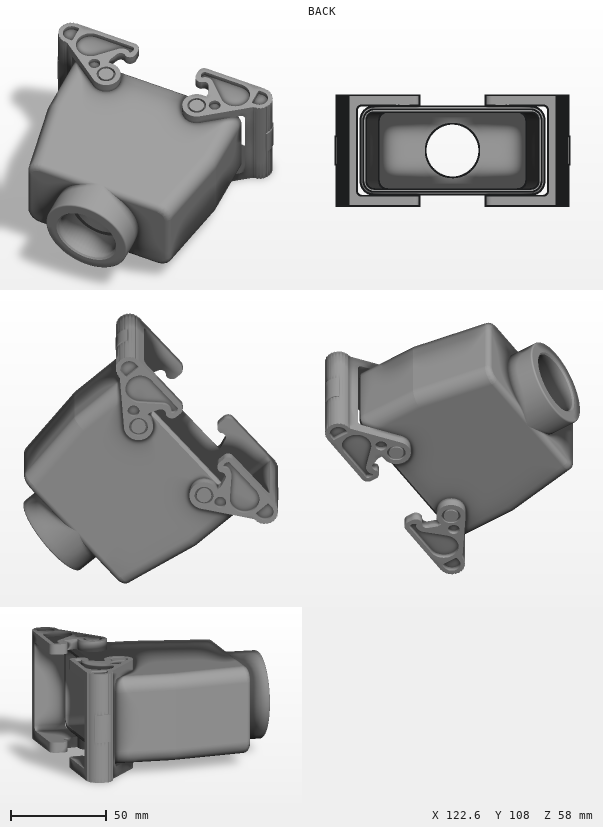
import cadquery as cq
import math


body_half_width = 48.2
end_half_width = 40.6
half_height = 23.2
taper_start_y = -34.6
end_y = -77.4
side_fillet = 7.4
end_fillet = 3.1
mouth_chamfer = 1.6
wall = 3.1

neck_radius = half_height
neck_end_y = -92.5
neck_rounding = 0.9
bore_radius = 16.3
bore_chamfer = 0.9
bore_depth = 17.2
passage_radius = 14.0

overall_width = 122.6
lever_height = 58.0
lever_half_height = lever_height / 2
lever_top_y = 15.5
grip_radius = 7.0
pad_height = 0.5
pad_radius = grip_radius + pad_height
grip_x = -overall_width / 2 + pad_radius
grip_y = lever_top_y - grip_radius
grip_exit_angle = 274.0
hook_tip_x = -17.2
hook_radius = 3.4
hook_lower_y = 9.1
hook_lobe_end_angle = 252.0
throat_top = (-24.3, 6.7)
throat_side = (-26.2, 5.1)
shank_x = -28.1
shank_y = 0.2
eye_x = -26.0
eye_y = -9.5
eye_radius = 7.6

window_x = -49.9
window_half_height = 23.5
window_fillet = 2.5

pin_radius = 3.8
pin_groove_radius = 4.9
pin_groove_depth = 1.7
recess_depth = 2.7
recess_margin = 2.5
dimple_x = -34.5
dimple_y = -5.5
dimple_radius = 3.1
grip_recess_edge_x = -51.4
grip_recess_corner = 0.5
web_radius = 7.7
web_x = -41.5
web_tip = [(-20.5, lever_top_y - recess_margin), (-19.5, 10.7), (-20.7, 8.7)]
web_neck = [(-21.7, 9.7), (-24.2, 10.0)]
web_arc_end_x = -27.3

groove_pitch = 15.0
groove_count = 12
first_groove_angle = 97.5
groove_width = 0.9
groove_depth = 0.2
pad_half_height = 7.4
pad_half_angle = 35.0


def on_circle(x, y, radius, degrees):
    angle = math.radians(degrees)
    return (x + radius * math.cos(angle), y + radius * math.sin(angle))


def slab(outline, z_low, z_high):
    """Extrude a closed XY outline between two heights."""
    return outline.extrude(z_high - z_low).translate((0, 0, z_low))


def disc(x, y, radius, z_low, z_high):
    return slab(cq.Workplane("XY").center(x, y).circle(radius), z_low, z_high)


def y_cylinder(radius, y_low, y_high):
    return cq.Workplane("XZ", origin=(0, y_high, 0)).circle(radius).extrude(y_high - y_low)


def hood_block(inset, back_y):
    """Tapered block with rounded long edges, shrunk by an inset from the outer skin."""
    half_z = half_height - inset
    slope = (body_half_width - end_half_width) / (taper_start_y - end_y)
    wide = body_half_width - inset
    narrow = wide - slope * (taper_start_y - back_y)
    outline = cq.Workplane("XY").polyline([
        (-wide, 0), (wide, 0), (wide, taper_start_y),
        (narrow, back_y), (-narrow, back_y), (-wide, taper_start_y),
    ]).close()
    block = slab(outline, -half_z, half_z)
    long_edges = block.edges("#Z").edges("not(>Y or <Y)")
    return long_edges.fillet(side_fillet - inset)


def hood():
    block = hood_block(0, end_y)
    block = block.faces("<Y").edges().fillet(end_fillet)
    block = block.faces(">Y").edges().chamfer(mouth_chamfer)
    neck = y_cylinder(neck_radius, neck_end_y, end_y + end_fillet)
    neck = neck.faces("<Y").edges().fillet(neck_rounding)
    bore = y_cylinder(bore_radius, neck_end_y, neck_end_y + bore_depth)
    mouth = cq.Workplane("XZ", origin=(0, neck_end_y, 0)).circle(bore_radius + bore_chamfer)
    mouth = mouth.extrude(-bore_chamfer, taper=45)
    passage = y_cylinder(passage_radius, neck_end_y, 0)
    cavity = hood_block(wall, neck_end_y + bore_depth + wall)
    return block.union(neck).cut(cavity).cut(bore).cut(mouth).cut(passage)


def lever_outline():
    hook_x = hook_tip_x - hook_radius
    hook_upper_y = lever_top_y - hook_radius
    lobe_middle_angle = (hook_lobe_end_angle + 360) / 2
    grip_exit = on_circle(grip_x, grip_y, grip_radius, grip_exit_angle)
    dx = grip_exit[0] - eye_x
    dy = grip_exit[1] - eye_y
    spread = math.degrees(math.acos(eye_radius / math.hypot(dx, dy)))
    tangent_angle = math.degrees(math.atan2(dy, dx)) + spread
    return (
        cq.Workplane("XY")
        .moveTo(grip_x, lever_top_y)
        .lineTo(hook_x, lever_top_y)
        .threePointArc(on_circle(hook_x, hook_upper_y, hook_radius, 45), (hook_tip_x, hook_upper_y))
        .lineTo(hook_tip_x, hook_lower_y)
        .threePointArc(
            on_circle(hook_x, hook_lower_y, hook_radius, lobe_middle_angle),
            on_circle(hook_x, hook_lower_y, hook_radius, hook_lobe_end_angle),
        )
        .threePointArc(throat_top, throat_side)
        .lineTo(shank_x, shank_y)
        .lineTo(shank_x, eye_y + eye_radius)
        .lineTo(eye_x, eye_y + eye_radius)
        .threePointArc((eye_x + eye_radius, eye_y), on_circle(eye_x, eye_y, eye_radius, tangent_angle))
        .lineTo(*grip_exit)
        .threePointArc((grip_x - grip_radius, grip_y), (grip_x, lever_top_y))
        .close()
    )


def web_recess_outline():
    web_y = lever_top_y - recess_margin - web_radius
    lower = on_circle(web_x, web_y, web_radius, -45)
    arc_end = (web_arc_end_x, lower[1] + web_arc_end_x - lower[0])
    return (
        cq.Workplane("XY")
        .moveTo(web_x, web_y + web_radius)
        .lineTo(*web_tip[0])
        .threePointArc(web_tip[1], web_tip[2])
        .lineTo(*web_neck[0])
        .threePointArc(web_neck[1], arc_end)
        .lineTo(*lower)
        .threePointArc(on_circle(web_x, web_y, web_radius, 202.5), (web_x, web_y + web_radius))
        .close()
    )


def grip_recess(z_low, z_high):
    radius = grip_radius - recess_margin
    outline = (
        cq.Workplane("XY")
        .moveTo(grip_x, grip_y + radius)
        .lineTo(grip_recess_edge_x, grip_y + radius)
        .lineTo(grip_recess_edge_x, grip_y - radius)
        .lineTo(grip_x, grip_y - radius)
        .threePointArc((grip_x - radius, grip_y), (grip_x, grip_y + radius))
        .close()
    )
    return slab(outline, z_low, z_high).edges("|Z and >X").fillet(grip_recess_corner)


def arm_recesses():
    """Recesses of the upper arm: grip end, web, dimple and the groove around the pin."""
    top = lever_half_height
    floor = top - recess_depth
    groove_floor = top - pin_groove_depth
    groove = disc(eye_x, eye_y, pin_groove_radius, groove_floor, top)
    groove = groove.cut(disc(eye_x, eye_y, pin_radius, groove_floor, top))
    recesses = grip_recess(floor, top).union(slab(web_recess_outline(), floor, top))
    return recesses.union(disc(dimple_x, dimple_y, dimple_radius, floor, top)).union(groove)


def grip_grooves():
    groove = cq.Workplane("XY").box(2 * groove_depth, groove_width, lever_height)
    groove = groove.translate((grip_x + grip_radius, grip_y, 0))
    grooves = cq.Workplane("XY")
    for index in range(groove_count):
        angle = first_groove_angle + index * groove_pitch
        grooves = grooves.add(groove.rotate((grip_x, grip_y, 0), (grip_x, grip_y, 1), angle))
    return grooves.combine()


def grip_pad():
    """Ring sector raised above the serrations."""
    inner_radius = grip_radius - 2 * groove_depth
    start = 180 - pad_half_angle
    end = 180 + pad_half_angle
    outline = (
        cq.Workplane("XY")
        .moveTo(*on_circle(grip_x, grip_y, inner_radius, start))
        .lineTo(*on_circle(grip_x, grip_y, pad_radius, start))
        .threePointArc((grip_x - pad_radius, grip_y), on_circle(grip_x, grip_y, pad_radius, end))
        .lineTo(*on_circle(grip_x, grip_y, inner_radius, end))
        .threePointArc((grip_x - inner_radius, grip_y), on_circle(grip_x, grip_y, inner_radius, start))
        .close()
    )
    return slab(outline, -pad_half_height, pad_half_height)


def lever():
    body = slab(lever_outline(), -lever_half_height, lever_half_height)
    window_length = hook_tip_x - window_x
    window_depth = 2 * (lever_top_y - eye_y + eye_radius)
    window = cq.Workplane("XY").box(window_length, window_depth, 2 * window_half_height)
    window = window.translate((window_x + window_length / 2, 0, 0))
    window = window.edges("|Y and <X").fillet(window_fillet)
    recesses = arm_recesses()
    body = body.cut(window).cut(grip_grooves()).union(grip_pad())
    body = body.cut(recesses).cut(recesses.mirror("XY"))
    pin = disc(eye_x, eye_y, pin_radius, half_height - wall, window_half_height + wall)
    return body.union(pin).union(pin.mirror("XY"))


left_lever = lever()
result = hood().union(left_lever).union(left_lever.mirror("YZ"))